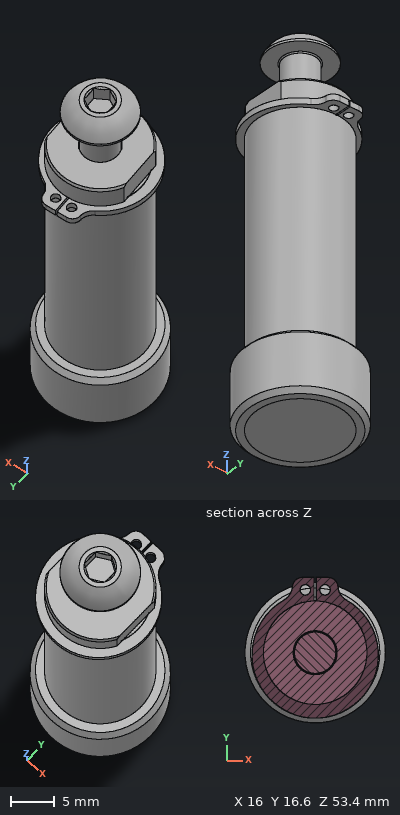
import cadquery as cq
import math

SHAFT_D = 12.7
SHAFT_TOP = 44.5
SHAFT_CHAMFER_HEIGHT = 0.3
SHAFT_CHAMFER_WIDTH = 0.2
ACROSS_FLATS = 11.1
GROOVE_D = 11.85
GROOVE_BOTTOM = 40.4
GROOVE_WIDTH = 0.95

COLLAR_D = 16.0
COLLAR_HEIGHT = 8.75
COLLAR_CHAMFER = 0.65

RING_THICKNESS = 0.85
RING_OUTER_R = 7.2
RING_OFFSET = 0.25
LUG_WIDTH = 5.25
LUG_TOP = 8.6
LUG_CORNER_R = 1.2
LUG_ROOT_R = 1.85
RING_GAP = 0.2
PLIER_HOLE_D = 1.2
PLIER_HOLE_SPACING = 2.25
PLIER_HOLE_Y = 7.15

SCREW_TOP = 53.35
HEAD_D = 9.2
HEAD_FLAT_D = 4.8
HEAD_HEIGHT = 2.55
HEAD_RIM = 0.3
DOME_BULGE = 0.25
SHANK_D = 4.75
NECK_FLARE = 0.15
SCREW_HOLE_D = 4.95
SCREW_DEPTH = 10.7
SOCKET_ACROSS_FLATS = 3.2
SOCKET_DEPTH = 2.15
SOCKET_CHAMFER = 0.2

GROOVE_TOP = GROOVE_BOTTOM + GROOVE_WIDTH
HEAD_BOTTOM = SCREW_TOP - HEAD_HEIGHT
SCREW_TIP = SHAFT_TOP - SCREW_DEPTH


def cylinder(diameter, bottom, top):
    """Upright cylinder on the Z axis between two heights."""
    return cq.Workplane("XY").workplane(offset=bottom).circle(diameter / 2).extrude(top - bottom)


def make_shaft():
    """Round bar with a flatted end above the snap-ring groove and a screw hole from the top."""
    bar = cylinder(SHAFT_D, 0, GROOVE_BOTTOM)
    groove_core = cylinder(GROOVE_D, GROOVE_BOTTOM, GROOVE_TOP)

    round_end = cylinder(SHAFT_D, GROOVE_TOP, SHAFT_TOP)
    round_end = round_end.faces(">Z").chamfer(SHAFT_CHAMFER_HEIGHT, SHAFT_CHAMFER_WIDTH)
    flats = (
        cq.Workplane("XY")
        .workplane(offset=GROOVE_TOP)
        .rect(ACROSS_FLATS, SHAFT_D)
        .extrude(SHAFT_TOP - GROOVE_TOP)
    )
    flatted_end = round_end.intersect(flats)

    screw_hole = cylinder(SCREW_HOLE_D, SCREW_TIP, SHAFT_TOP)
    return bar.union(groove_core).union(flatted_end).cut(screw_hole)


def make_collar():
    """Ring with both outer rims chamfered, bored to fit the shaft."""
    collar = cylinder(COLLAR_D, 0, COLLAR_HEIGHT).faces("<Z or >Z").edges().chamfer(COLLAR_CHAMFER)
    return collar.cut(cylinder(SHAFT_D, 0, COLLAR_HEIGHT))


def make_snap_ring():
    """Flat eccentric ring, split between two lugs that carry the plier holes."""
    plane = cq.Workplane("XY").workplane(offset=GROOVE_BOTTOM)
    disc = plane.center(0, -RING_OFFSET).circle(RING_OUTER_R).extrude(RING_THICKNESS)
    lugs = plane.center(0, LUG_TOP / 2).rect(LUG_WIDTH, LUG_TOP).extrude(RING_THICKNESS)
    lugs = lugs.edges("|Z and >Y").fillet(LUG_CORNER_R)
    ring = disc.union(lugs)

    root_y = math.sqrt(RING_OUTER_R ** 2 - (LUG_WIDTH / 2) ** 2) - RING_OFFSET
    for root_x in (-LUG_WIDTH / 2, LUG_WIDTH / 2):
        root_edge = cq.selectors.NearestToPointSelector(
            (root_x, root_y, GROOVE_BOTTOM + RING_THICKNESS / 2))
        ring = ring.edges("|Z").edges(root_edge).fillet(LUG_ROOT_R)

    bore = cylinder(GROOVE_D, GROOVE_BOTTOM, GROOVE_TOP)
    gap = plane.center(0, LUG_TOP / 2).rect(RING_GAP, LUG_TOP).extrude(RING_THICKNESS)
    hole_x = PLIER_HOLE_SPACING / 2
    hole_centres = [(-hole_x, PLIER_HOLE_Y), (hole_x, PLIER_HOLE_Y)]
    plier_holes = plane.pushPoints(hole_centres).circle(PLIER_HOLE_D / 2).extrude(RING_THICKNESS)
    return ring.cut(bore).cut(gap).cut(plier_holes)


def make_screw():
    """Screw with a domed head, a flared neck, a plain shank and a hexagon socket."""
    rim_top = HEAD_BOTTOM + HEAD_RIM
    neck_r = SHANK_D / 2 + NECK_FLARE
    screw = (
        cq.Workplane("XZ")
        .moveTo(0, SCREW_TIP)
        .lineTo(SHANK_D / 2, SCREW_TIP)
        .lineTo(SHANK_D / 2, HEAD_BOTTOM - NECK_FLARE)
        .lineTo(neck_r, HEAD_BOTTOM)
        .lineTo(HEAD_D / 2, HEAD_BOTTOM)
        .lineTo(HEAD_D / 2, rim_top)
        .sagittaArc((HEAD_FLAT_D / 2, SCREW_TOP), -DOME_BULGE)
        .lineTo(0, SCREW_TOP)
        .close()
        .revolve(360, (0, 0), (0, 1))
    )

    socket_corner_d = SOCKET_ACROSS_FLATS / math.cos(math.pi / 6)
    socket = (
        cq.Workplane("XY")
        .workplane(offset=SCREW_TOP - SOCKET_DEPTH)
        .transformed(rotate=(0, 0, 90))
        .polygon(6, socket_corner_d)
        .extrude(SOCKET_DEPTH)
    )
    mouth_r = socket_corner_d / 2
    mouth_base = cq.Vector(0, 0, SCREW_TOP - SOCKET_CHAMFER)
    mouth = cq.Workplane(cq.Solid.makeCone(mouth_r - SOCKET_CHAMFER, mouth_r, SOCKET_CHAMFER, mouth_base))
    return screw.cut(socket).cut(mouth)


shaft = make_shaft()
collar = make_collar()
snap_ring = make_snap_ring()
screw = make_screw()

result = cq.Compound.makeCompound([shaft.val(), collar.val(), snap_ring.val(), screw.val()])